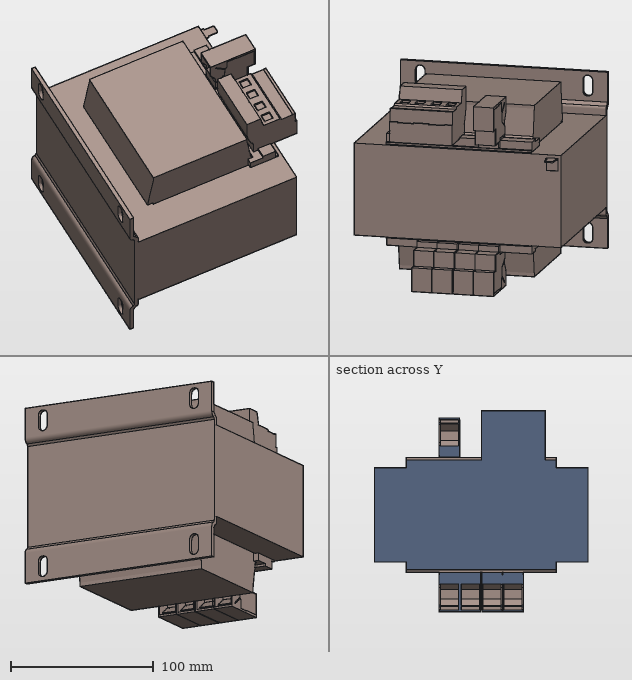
import cadquery as cq
import math


CORE_WIDTH = 150.0
CORE_LENGTH = 125.0
CORE_HALF_HEIGHT = 33.2
LIMB = CORE_WIDTH / 6
CORE_FRONT = 6.8
CORE_BACK = CORE_FRONT + CORE_LENGTH
WINDOW_WIDTH = CORE_WIDTH - 2 * LIMB
WINDOW_FRONT = CORE_FRONT + LIMB
WINDOW_BACK = CORE_BACK - LIMB

COIL_WIDTH = 97.8
COIL_HALF_HEIGHT = 61.8
COIL_SHOULDER_Z = 59.3
COIL_TOP_FRONT = 32.2
COIL_TOP_BACK = 106.0
COIL_FOOT_FRONT = 27.5
COIL_FOOT_BACK = 110.9
COIL_KINK_Y = 109.2
COIL_KINK_Z = 40.2
COIL_FLARE_Z = 38.4

PLATE_THICKNESS = 3.0
FOOT_END_Z = 63.5
JOG_DEPTH = CORE_FRONT - PLATE_THICKNESS
JOG_FRONT_START_Z = 41.9
JOG_FRONT_BEND_END = (2.7, 38.2)
JOG_FRONT_END_Z = 36.6
JOG_BACK_START_Z = 42.0
JOG_BACK_BEND_START = (5.3, 39.6)
JOG_BACK_END_Z = 37.6
SLOT_X = 60.75
SLOT_Z = 53.0
SLOT_WIDTH = 7.0
SLOT_LENGTH = 15.0

CARRIER_WIDTH = 105.5
CARRIER_BACK = 128.9
CARRIER_LEDGE_Z = 34.5
BAR_BACK = 126.6
BAR_FRONT = 116.8
BAR_TOP_Z = 40.3
CARRIER_TOP_Z = 38.6

TERMINAL_WIDTH = 14.7
TERMINALS_PER_PAIR = 2
PAIR_GAP = 0.6
INSERT_PROUD = 0.1
TERMINAL_WALL = 1.0
TERMINAL_BACK = 145.7
TERMINAL_FRONT = 110.4
TERMINAL_TOP_Z = 68.0
TERMINAL_BOTTOM_Z = 39.4
TERMINAL_STEP_Y = 140.5
TERMINAL_STEP_Z = 50.8
TERMINAL_HEEL_Y = 114.2
TERMINAL_HEEL_Z = 52.0
TERMINAL_NOSE_Z = 57.5
HOOK_BACK = 131.1
HOOK_BOTTOM_Z = 35.2
INSERT_BACK = 144.5
INSERT_FRONT = 123.3
INSERT_TOP_Z = 66.6
INSERT_STEP_Y = 131.0
INSERT_FOOT_Y = 127.9
INSERT_FOOT_Z = 41.9
INSERT_REAR_Y = 139.3
INSERT_MARGIN = 0.4
THROAT_UPPER = (INSERT_FRONT, 60.6)
THROAT_MIDDLE = (121.7, 59.3)
THROAT_LOWER = (121.4, 52.3)
THROAT_LIP = (TERMINAL_HEEL_Y, 47.8)
LEVER_CENTRE = (118.3, 61.9)
LEVER_LENGTH = 9.0
LEVER_THICKNESS = 0.8
LEVER_ANGLE = 37.0

POLE_WIDTH = 22.5
POLES = 2
BLOCK_BACK = 147.55
BLOCK_SHELF_Z = 54.0
BLOCK_REAR_Y = 146.2
BLOCK_RIM_FRONT = 144.2
BLOCK_RIM_Z = 63.3
BLOCK_PANEL_Z = 62.9
BLOCK_PANEL_FRONT = 135.4
BLOCK_BAND_BACK = 134.1
BLOCK_BAND_Z = 64.2
BLOCK_BAND_FRONT = 121.2
BLOCK_HEAD_BACK = 118.8
BLOCK_FRONT = 108.0
BLOCK_TOP_Z = 73.15
BLOCK_NOSE_Z = 63.4
BLOCK_HEEL = (113.1, 47.3)
PROBE_X = (5.8, 16.6)
PROBE_Y = 127.0
PROBE_SIZE = (6.0, 6.5)
PROBE_DEPTH = 1.5
SHELF_RECESS_WIDTH = 11.6
SHELF_RECESS_DEPTH = 0.5

TAB_X = -68.8
TAB_THICKNESS = 0.8
TAB_TOP_Z = 31.0
TAB_BOTTOM_Z = 22.0
TAB_BASE_WIDTH = 8.4
TAB_BLADE_WIDTH = 6.3
TAB_SHOULDER_Y = 134.8
TAB_TIP_Y = 142.4
TAB_TIP_RADIUS = 1.0


def extrude_along_x(points, x_start, width):
    """Prism of a closed (Y, Z) outline, running from x_start toward +X."""
    return cq.Workplane("YZ", origin=(x_start, 0, 0)).polyline(points).close().extrude(width)


def block_between(x_range, y_range, z_range):
    """Axis-aligned block between the given limits."""
    size = [limits[1] - limits[0] for limits in (x_range, y_range, z_range)]
    corner = (x_range[0], y_range[0], z_range[0])
    return cq.Workplane("XY").box(*size, centered=False).translate(corner)


def bend_middle(face_y, face_z, far_end):
    """Middle point of an arc that leaves a vertical face at (face_y, face_z) tangentially."""
    run = far_end[0] - face_y
    rise = far_end[1] - face_z
    radius = (run**2 + rise**2) / (2 * abs(run))
    half_angle = math.atan2(abs(rise), radius - abs(run)) / 2
    return (
        face_y + math.copysign(radius * (1 - math.cos(half_angle)), run),
        face_z + math.copysign(radius * math.sin(half_angle), rise),
    )


def mirrored_below(body):
    """Copy of a body reflected through the middle plane of the core."""
    return body.mirror("XY")


def make_core():
    """Core and coil as one body, with the clearance at each side of the coil left open."""
    core = block_between(
        (-CORE_WIDTH / 2, CORE_WIDTH / 2),
        (CORE_FRONT, CORE_BACK),
        (-CORE_HALF_HEIGHT, CORE_HALF_HEIGHT),
    )
    window = block_between(
        (-WINDOW_WIDTH / 2, WINDOW_WIDTH / 2),
        (WINDOW_FRONT, WINDOW_BACK),
        (-CORE_HALF_HEIGHT, CORE_HALF_HEIGHT),
    )
    upper_outline = [
        (COIL_FOOT_FRONT, 0),
        (COIL_FOOT_FRONT, CORE_HALF_HEIGHT),
        (COIL_TOP_FRONT, COIL_SHOULDER_Z),
        (COIL_TOP_FRONT, COIL_HALF_HEIGHT),
        (COIL_TOP_BACK, COIL_HALF_HEIGHT),
        (COIL_TOP_BACK, COIL_SHOULDER_Z),
        (COIL_KINK_Y, COIL_KINK_Z),
        (COIL_FOOT_BACK, COIL_FLARE_Z),
        (COIL_FOOT_BACK, 0),
    ]
    upper_coil = extrude_along_x(upper_outline, -COIL_WIDTH / 2, COIL_WIDTH)
    return core.cut(window).union(upper_coil).union(mirrored_below(upper_coil))


def make_plate():
    """Web against the core front, joggled forward into a slotted foot at each end."""
    upper = (
        cq.Workplane("YZ", origin=(-CORE_WIDTH / 2, 0, 0))
        .moveTo(CORE_FRONT, 0)
        .lineTo(JOG_DEPTH, 0)
        .lineTo(JOG_DEPTH, JOG_FRONT_END_Z)
        .lineTo(*JOG_FRONT_BEND_END)
        .threePointArc(
            bend_middle(0, JOG_FRONT_START_Z, JOG_FRONT_BEND_END),
            (0, JOG_FRONT_START_Z),
        )
        .lineTo(0, FOOT_END_Z)
        .lineTo(PLATE_THICKNESS, FOOT_END_Z)
        .lineTo(PLATE_THICKNESS, JOG_BACK_START_Z)
        .lineTo(*JOG_BACK_BEND_START)
        .threePointArc(
            bend_middle(CORE_FRONT, JOG_BACK_END_Z, JOG_BACK_BEND_START),
            (CORE_FRONT, JOG_BACK_END_Z),
        )
        .close()
        .extrude(CORE_WIDTH)
    )
    plate = upper.union(mirrored_below(upper))
    slots = (
        cq.Workplane("XZ")
        .rect(2 * SLOT_X, 2 * SLOT_Z, forConstruction=True)
        .vertices()
        .slot2D(SLOT_LENGTH, SLOT_WIDTH, 90)
        .extrude(-PLATE_THICKNESS)
    )
    return plate.cut(slots)


def make_carrier():
    """Stepped rail above the core that carries the terminals."""
    outline = [
        (CARRIER_BACK, CORE_HALF_HEIGHT),
        (CARRIER_BACK, CARRIER_LEDGE_Z),
        (BAR_BACK, CARRIER_LEDGE_Z),
        (BAR_BACK, BAR_TOP_Z),
        (BAR_FRONT, BAR_TOP_Z),
        (BAR_FRONT, CARRIER_TOP_Z),
        (WINDOW_BACK, CARRIER_TOP_Z),
        (WINDOW_BACK, CORE_HALF_HEIGHT),
    ]
    return extrude_along_x(outline, -CARRIER_WIDTH / 2, CARRIER_WIDTH)


def make_terminal(x_start):
    """Hollow-fronted housing around a slightly wider insert, with a sloping clamp lever."""
    shell_outline = [
        (TERMINAL_BACK, TERMINAL_TOP_Z),
        (TERMINAL_FRONT, TERMINAL_TOP_Z),
        (TERMINAL_FRONT, TERMINAL_NOSE_Z),
        (TERMINAL_HEEL_Y, TERMINAL_HEEL_Z),
        (TERMINAL_HEEL_Y, BAR_TOP_Z),
        (BAR_BACK, BAR_TOP_Z),
        (BAR_BACK, HOOK_BOTTOM_Z),
        (HOOK_BACK, HOOK_BOTTOM_Z),
        (HOOK_BACK, TERMINAL_BOTTOM_Z),
        (TERMINAL_STEP_Y, TERMINAL_BOTTOM_Z),
        (TERMINAL_STEP_Y, TERMINAL_STEP_Z),
        (TERMINAL_BACK, TERMINAL_STEP_Z),
    ]
    mouth_outline = [
        (INSERT_FRONT, INSERT_TOP_Z),
        THROAT_UPPER,
        THROAT_MIDDLE,
        THROAT_LOWER,
        THROAT_LIP,
        (TERMINAL_FRONT, THROAT_LIP[1]),
        (TERMINAL_FRONT, INSERT_TOP_Z),
    ]
    insert_outline = [
        (INSERT_BACK, INSERT_TOP_Z - INSERT_MARGIN),
        (INSERT_STEP_Y, INSERT_TOP_Z - INSERT_MARGIN),
        (INSERT_STEP_Y, INSERT_TOP_Z),
        (INSERT_FRONT, INSERT_TOP_Z),
        THROAT_UPPER,
        THROAT_MIDDLE,
        THROAT_LOWER,
        THROAT_LIP,
        (TERMINAL_HEEL_Y, INSERT_FOOT_Z),
        (INSERT_FOOT_Y, INSERT_FOOT_Z),
        (INSERT_FOOT_Y, TERMINAL_BOTTOM_Z + INSERT_MARGIN),
        (INSERT_REAR_Y, TERMINAL_BOTTOM_Z + INSERT_MARGIN),
        (INSERT_REAR_Y, TERMINAL_STEP_Z + INSERT_MARGIN),
        (INSERT_BACK, TERMINAL_STEP_Z + INSERT_MARGIN),
    ]
    shell = extrude_along_x(shell_outline, x_start + INSERT_PROUD, TERMINAL_WIDTH - 2 * INSERT_PROUD)
    mouth = extrude_along_x(mouth_outline, x_start + TERMINAL_WALL, TERMINAL_WIDTH - 2 * TERMINAL_WALL)
    insert = extrude_along_x(insert_outline, x_start, TERMINAL_WIDTH)
    lever = (
        cq.Workplane("XY")
        .box(TERMINAL_WIDTH, LEVER_LENGTH, LEVER_THICKNESS)
        .rotate((0, 0, 0), (1, 0, 0), -LEVER_ANGLE)
        .translate((x_start + TERMINAL_WIDTH / 2, *LEVER_CENTRE))
    )
    return shell.cut(mouth).union(insert).union(lever)


def make_two_pole_block():
    """Large terminal block standing on the upper carrier, from the middle toward +X."""
    width = POLES * POLE_WIDTH
    block = (
        cq.Workplane("YZ")
        .moveTo(BLOCK_FRONT, BLOCK_NOSE_Z)
        .lineTo(BLOCK_FRONT, BLOCK_TOP_Z)
        .lineTo(BLOCK_HEAD_BACK, BLOCK_TOP_Z)
        .lineTo(BLOCK_BAND_FRONT, BLOCK_BAND_Z)
        .lineTo(BLOCK_BAND_BACK, BLOCK_BAND_Z)
        .lineTo(BLOCK_PANEL_FRONT, BLOCK_PANEL_Z)
        .lineTo(BLOCK_RIM_FRONT, BLOCK_PANEL_Z)
        .lineTo(BLOCK_RIM_FRONT, BLOCK_RIM_Z)
        .lineTo(BLOCK_REAR_Y, BLOCK_RIM_Z)
        .lineTo(BLOCK_REAR_Y, BLOCK_SHELF_Z)
        .lineTo(BLOCK_BACK, BLOCK_SHELF_Z)
        .lineTo(BLOCK_BACK, TERMINAL_BOTTOM_Z)
        .lineTo(BAR_BACK, TERMINAL_BOTTOM_Z)
        .lineTo(BAR_BACK, CARRIER_TOP_Z)
        .lineTo(BLOCK_HEEL[0], CARRIER_TOP_Z)
        .lineTo(*BLOCK_HEEL)
    )
    nose_middle = bend_middle(BLOCK_FRONT, BLOCK_NOSE_Z, BLOCK_HEEL)
    block = block.threePointArc(nose_middle, (BLOCK_FRONT, BLOCK_NOSE_Z)).close().extrude(width)

    for pole in range(POLES):
        pole_x = pole * POLE_WIDTH
        for probe_x in PROBE_X:
            probe = cq.Workplane("XY").box(*PROBE_SIZE, 2 * PROBE_DEPTH)
            block = block.cut(probe.translate((pole_x + probe_x, PROBE_Y, BLOCK_BAND_Z)))
        recess_middle = pole_x + POLE_WIDTH / 2
        recess = block_between(
            (recess_middle - SHELF_RECESS_WIDTH / 2, recess_middle + SHELF_RECESS_WIDTH / 2),
            (BLOCK_REAR_Y, BLOCK_BACK),
            (BLOCK_SHELF_Z - SHELF_RECESS_DEPTH, BLOCK_SHELF_Z),
        )
        block = block.cut(recess)
    return block


def make_earth_tab():
    """L-shaped push-on tab on the back of the core."""
    base_x = (TAB_X - TAB_BASE_WIDTH / 2, TAB_X + TAB_BASE_WIDTH / 2)
    blade_x = (TAB_X - TAB_BLADE_WIDTH / 2, TAB_X + TAB_BLADE_WIDTH / 2)
    blade_z = (TAB_TOP_Z - TAB_THICKNESS, TAB_TOP_Z)
    leg = block_between(base_x, (CORE_BACK, CORE_BACK + TAB_THICKNESS), (TAB_BOTTOM_Z, TAB_TOP_Z))
    shoulder = block_between(base_x, (CORE_BACK, TAB_SHOULDER_Y), blade_z)
    blade = block_between(blade_x, (CORE_BACK, TAB_TIP_Y), blade_z)
    blade = blade.edges("|Z and >Y").fillet(TAB_TIP_RADIUS)
    return leg.union(shoulder).union(blade)


pair_starts = [-PAIR_GAP / 2 - TERMINALS_PER_PAIR * TERMINAL_WIDTH, PAIR_GAP / 2]
upper_carrier = make_carrier()

result = make_core().union(make_plate()).union(upper_carrier).union(mirrored_below(upper_carrier))
result = result.union(make_terminal(pair_starts[0])).union(make_two_pole_block())
for pair_start in pair_starts:
    for place in range(TERMINALS_PER_PAIR):
        terminal = make_terminal(pair_start + place * TERMINAL_WIDTH)
        result = result.union(mirrored_below(terminal))
result = result.union(make_earth_tab())